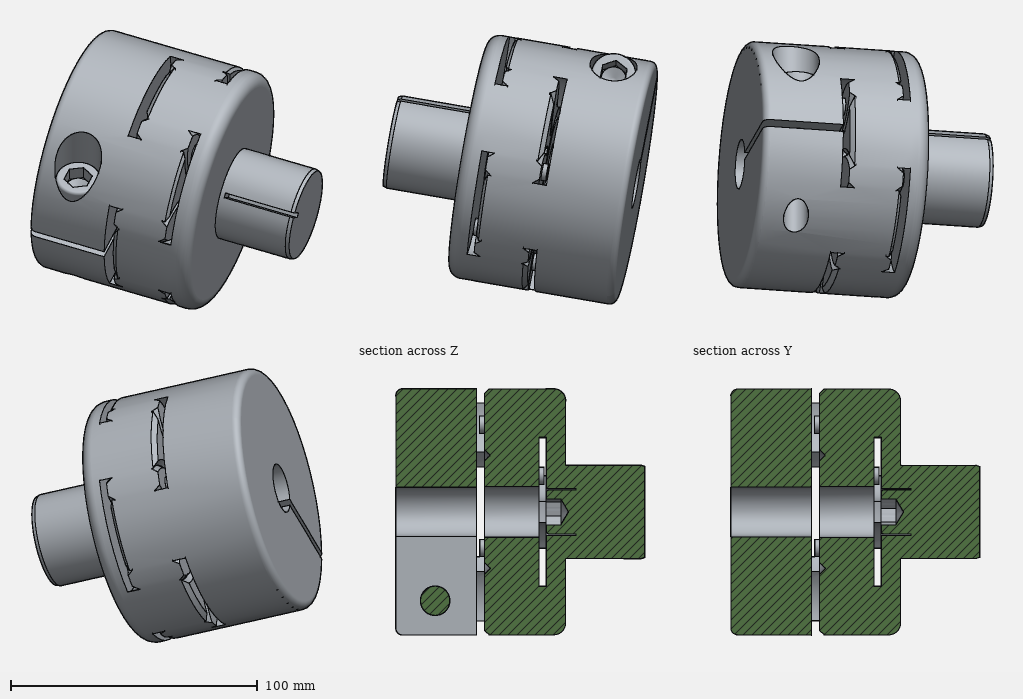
import cadquery as cq
import math


CLAMP_HUB_END = 32.8
SPIDER_START = 36.0
SPIDER_END = 58.2
FLANGE_START = 61.0
FLANGE_END = 69.0
SHAFT_END = 101.0

OUTER_R = 100.0 / 2
BORE_R = 20.0 / 2
SHAFT_R = 38.0 / 2
CLAMP_HUB_FILLET = 2.9
FLANGE_FILLET = 5.0
SHAFT_CHAMFER_AXIAL = 1.5
SHAFT_CHAMFER_RADIAL = 0.5

LEG_COUNT = 8
LEG_PITCH = 360.0 / LEG_COUNT
LEG_ROOT_R = 29.3
LEG_ROOT_HALF_WIDTH = 7.5
LEG_OUTER_HALF_WIDTH = 4.65
LEG_SIDE_R = 47.0 / 2
LEG_OVERRUN = 1.0
LEG_CHAMFER_AXIAL = 2.5
LEG_CHAMFER_SIDE = 1.5
SPIDER_BORE_R = 20.5 / 2
GROOVE_MID_R = 23.0
GROOVE_HALF_WIDTH = 2.3
BUTTON_COUNT = LEG_COUNT // 2
BUTTON_R = 7.0 / 2
BUTTON_HEIGHT = 2.0
BUTTON_CENTRE_R = 38.3

JAW_COUNT = LEG_COUNT // 2
JAW_PITCH = 360.0 / JAW_COUNT
JAW_INNER_R = math.hypot(LEG_ROOT_R, LEG_ROOT_HALF_WIDTH)
CLAMP_JAW_FIRST_ANGLE = JAW_PITCH / 2
CLAMP_JAW_CHAMFER = 1.2
FLANGE_JAW_CHAMFER = 1.9
SPIDER_RING_R = JAW_INNER_R + FLANGE_JAW_CHAMFER

SCREW_R = 12.0 / 2
HEAD_R = 18.0 / 2
HEAD_HEIGHT = 12.0
HEAD_FILLET = 1.2
COUNTERBORE_R = 19.0 / 2
SOCKET_FLATS = 10.0
SOCKET_DRILL_R = 10.11 / 2
SOCKET_DEPTH = 6.0
SOCKET_CONE_DEPTH = 3.0

CLAMP_SLIT_WIDTH = 3.0
CLAMP_SCREW_X = 16.0
CLAMP_SCREW_Y = -36.0
CLAMP_HEAD_TOP_Z = 25.2
CLAMP_SCREW_LENGTH = 32.0
CLAMP_SOCKET_TURN = 30.0
CLEARANCE_R = 12.5 / 2
THREAD_HOLE_R = 10.11 / 2

SHAFT_SLIT_START = 71.0
SHAFT_SLIT_WIDTH = 2.0
SHAFT_SLIT_DEPTH = 6.5
SHAFT_SLIT_ANGLE = 45.0
CENTRAL_HEAD_TOP_X = FLANGE_START
CENTRAL_SOCKET_TURN = 16.0


def x_cylinder(radius, start, end):
    """Cylinder on the coupling axis."""
    return cq.Workplane("YZ", origin=(start, 0, 0)).circle(radius).extrude(end - start)


def z_cylinder(radius, bottom, top):
    """Vertical cylinder on the clamping screw axis."""
    plane = cq.Workplane("XY", origin=(CLAMP_SCREW_X, CLAMP_SCREW_Y, bottom))
    return plane.circle(radius).extrude(top - bottom)


def around_axis(solid, count, first_angle=0.0):
    """Union of equally spaced copies about X, the original lying along +Y."""
    copies = cq.Workplane("XY")
    for index in range(count):
        angle = first_angle + index * 360.0 / count
        copies = copies.union(solid.rotate((0, 0, 0), (1, 0, 0), angle))
    return copies


def leg_half_width(distance):
    """Half width of a leg on the bulging side arc from its root to the outer diameter."""
    outer_distance = math.sqrt(OUTER_R**2 - LEG_OUTER_HALF_WIDTH**2)
    run = outer_distance - LEG_ROOT_R
    drop = LEG_ROOT_HALF_WIDTH - LEG_OUTER_HALF_WIDTH
    chord = math.hypot(run, drop)
    centre_offset = math.sqrt(LEG_SIDE_R**2 - (chord / 2) ** 2)
    centre_distance = (LEG_ROOT_R + outer_distance) / 2 - centre_offset * drop / chord
    centre_width = (LEG_ROOT_HALF_WIDTH + LEG_OUTER_HALF_WIDTH) / 2 - centre_offset * run / chord
    return centre_width + math.sqrt(LEG_SIDE_R**2 - (distance - centre_distance) ** 2)


def leg_prism(start, end):
    """Untrimmed leg along +Y, reaching a little past the outer radius."""
    far = OUTER_R + LEG_OVERRUN
    middle = (LEG_ROOT_R + far) / 2
    return (
        cq.Workplane("YZ", origin=(start, 0, 0))
        .moveTo(LEG_ROOT_R, -LEG_ROOT_HALF_WIDTH)
        .threePointArc((middle, -leg_half_width(middle)), (far, -leg_half_width(far)))
        .lineTo(far, leg_half_width(far))
        .threePointArc((middle, leg_half_width(middle)), (LEG_ROOT_R, LEG_ROOT_HALF_WIDTH))
        .close()
        .extrude(end - start)
    )


def jaw(root_x, tip_x, tip_chamfer):
    """Jaw along +Y that fills the space between two neighbouring legs and is bevelled at its tip."""
    start, end = sorted((root_x, tip_x))
    far_y = 2 * OUTER_R
    far_z = far_y * math.tan(math.radians(LEG_PITCH / 2))
    wedge = (
        cq.Workplane("YZ", origin=(start, 0, 0))
        .polyline([(0, 0), (far_y, far_z), (far_y, -far_z)])
        .close()
        .extrude(end - start)
    )
    body = x_cylinder(OUTER_R, start, end).cut(x_cylinder(JAW_INNER_R, start, end)).intersect(wedge)
    for side in (-1, 1):
        body = body.cut(leg_prism(start, end).rotate((0, 0, 0), (1, 0, 0), side * LEG_PITCH / 2))
    tip_face = ">X" if tip_x > root_x else "<X"
    return body.faces(tip_face).chamfer(tip_chamfer)


def socket_screw(length):
    """Cap screw standing along Z with its head top at the origin."""
    head = cq.Workplane("XY").circle(HEAD_R).extrude(-HEAD_HEIGHT)
    head = head.faces(">Z").edges().fillet(HEAD_FILLET)
    shank = cq.Workplane("XY", origin=(0, 0, -HEAD_HEIGHT)).circle(SCREW_R).extrude(-length)
    socket_corner_diameter = SOCKET_FLATS / math.cos(math.radians(30))
    socket = cq.Workplane("XY").polygon(6, socket_corner_diameter).extrude(-SOCKET_DEPTH)
    drill = cq.Workplane("XY").circle(SOCKET_DRILL_R).extrude(-SOCKET_DEPTH)
    drill_tip = cq.Solid.makeCone(
        SOCKET_DRILL_R, 0, SOCKET_CONE_DEPTH, cq.Vector(0, 0, -SOCKET_DEPTH), cq.Vector(0, 0, -1)
    )
    return head.union(shank).cut(socket).cut(drill).cut(cq.Workplane(drill_tip))


def clamp_hub():
    """Split hub with its bore, slit and clamping screw holes."""
    hub = x_cylinder(OUTER_R, 0, SPIDER_END).faces("<X").edges().fillet(CLAMP_HUB_FILLET)
    clamp_jaw = jaw(CLAMP_HUB_END, SPIDER_END, CLAMP_JAW_CHAMFER)
    jaws = around_axis(clamp_jaw, JAW_COUNT, CLAMP_JAW_FIRST_ANGLE)
    hub = hub.cut(x_cylinder(OUTER_R, CLAMP_HUB_END, SPIDER_END).cut(jaws))
    hub = hub.cut(x_cylinder(BORE_R, 0, CLAMP_HUB_END))
    slit = cq.Workplane("XY").box(CLAMP_HUB_END, OUTER_R, CLAMP_SLIT_WIDTH, centered=(False, False, True))
    hub = hub.cut(slit.translate((0, -OUTER_R, 0)))
    seat_z = CLAMP_HEAD_TOP_Z - HEAD_HEIGHT
    hub = hub.cut(z_cylinder(COUNTERBORE_R, seat_z, OUTER_R))
    hub = hub.cut(z_cylinder(CLEARANCE_R, 0, seat_z))
    hub = hub.cut(z_cylinder(THREAD_HOLE_R, -OUTER_R, 0))
    screw = socket_screw(CLAMP_SCREW_LENGTH).rotate((0, 0, 0), (0, 0, 1), CLAMP_SOCKET_TURN)
    return hub.union(screw.translate((CLAMP_SCREW_X, CLAMP_SCREW_Y, CLAMP_HEAD_TOP_Z)))


def button(start, end):
    """Round spacer button above a leg that lies along +Y."""
    plane = cq.Workplane("YZ", origin=(start, 0, 0)).center(BUTTON_CENTRE_R, 0)
    return plane.circle(BUTTON_R).extrude(end - start)


def spider():
    """Ring with eight bevelled legs, alternate end buttons and a V groove around its bore."""
    leg = leg_prism(SPIDER_START, SPIDER_END)
    leg = leg.faces("<X or >X").edges("%CIRCLE").chamfer(LEG_CHAMFER_AXIAL, LEG_CHAMFER_SIDE)
    leg = leg.intersect(x_cylinder(OUTER_R, SPIDER_START, SPIDER_END))
    body = x_cylinder(SPIDER_RING_R, SPIDER_START, SPIDER_END)
    body = body.union(around_axis(leg, LEG_COUNT, LEG_PITCH / 2))
    flange_side_button = button(SPIDER_END, SPIDER_END + BUTTON_HEIGHT)
    clamp_side_button = button(SPIDER_START - BUTTON_HEIGHT, SPIDER_START)
    body = body.union(around_axis(flange_side_button, BUTTON_COUNT, LEG_PITCH / 2))
    body = body.union(around_axis(clamp_side_button, BUTTON_COUNT, LEG_PITCH * 3 / 2))
    body = body.cut(x_cylinder(SPIDER_BORE_R, SPIDER_START, SPIDER_END))
    groove = (
        cq.Workplane("XY")
        .polyline(
            [
                (SPIDER_START, GROOVE_MID_R - GROOVE_HALF_WIDTH),
                (SPIDER_START + GROOVE_HALF_WIDTH, GROOVE_MID_R),
                (SPIDER_START, GROOVE_MID_R + GROOVE_HALF_WIDTH),
            ]
        )
        .close()
        .revolve(360, (0, 0, 0), (1, 0, 0))
    )
    return body.cut(groove)


def flange_hub():
    """Flange with its jaws, the slit shaft and the central screw."""
    flange = x_cylinder(OUTER_R, FLANGE_START, FLANGE_END).faces(">X").edges().fillet(FLANGE_FILLET)
    shaft = x_cylinder(SHAFT_R, FLANGE_START, SHAFT_END)
    shaft = shaft.faces(">X").edges().chamfer(SHAFT_CHAMFER_AXIAL, SHAFT_CHAMFER_RADIAL)
    slit = (
        cq.Workplane("XY", origin=(SHAFT_SLIT_START, SHAFT_SLIT_DEPTH - SHAFT_R, 0))
        .box(SHAFT_END - SHAFT_SLIT_START, SHAFT_R, SHAFT_SLIT_WIDTH, centered=(False, False, True))
        .translate((0, -SHAFT_R, 0))
        .rotate((0, 0, 0), (1, 0, 0), -SHAFT_SLIT_ANGLE)
    )
    flange_jaw = jaw(FLANGE_START, SPIDER_START, FLANGE_JAW_CHAMFER)
    hub = flange.union(shaft.cut(slit)).union(around_axis(flange_jaw, JAW_COUNT))
    seat_x = CENTRAL_HEAD_TOP_X + HEAD_HEIGHT
    hub = hub.cut(x_cylinder(COUNTERBORE_R, FLANGE_START, seat_x))
    screw = (
        socket_screw(SHAFT_END - seat_x)
        .rotate((0, 0, 0), (0, 1, 0), -90)
        .rotate((0, 0, 0), (1, 0, 0), -CENTRAL_SOCKET_TURN)
        .translate((CENTRAL_HEAD_TOP_X, 0, 0))
    )
    return hub.union(screw)


result = clamp_hub().union(spider()).union(flange_hub())